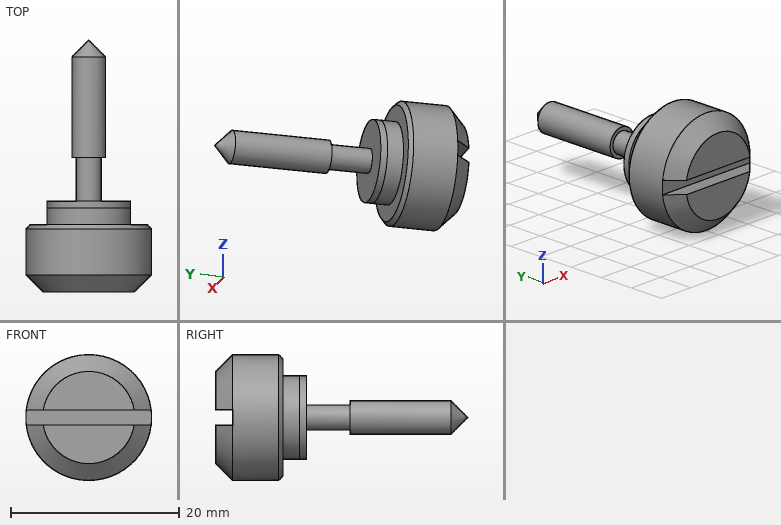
import cadquery as cq

overall_length = 30.0

head_diameter = 15.0
head_length = 8.0
front_chamfer = 2.0
rear_chamfer = 0.5

slot_width = 1.83
slot_depth = front_chamfer

collar_diameter = 10.0
collar_length = 1.98

washer_thickness = 0.85

neck_diameter = 3.0
shank_diameter = 4.02
shank_length = 12.0
tip_length = shank_diameter / 2

collar_end = head_length + collar_length
shank_end = overall_length - tip_length
shank_start = shank_end - shank_length


def make_screw():
    """Head, collar, neck and pointed shank turned as one piece, with a driver slot."""
    head_radius = head_diameter / 2
    collar_radius = collar_diameter / 2
    neck_radius = neck_diameter / 2
    shank_radius = shank_diameter / 2
    half_profile = [
        (0, 0),
        (head_radius - front_chamfer, 0),
        (head_radius, front_chamfer),
        (head_radius, head_length - rear_chamfer),
        (head_radius - rear_chamfer, head_length),
        (collar_radius, head_length),
        (collar_radius, collar_end),
        (neck_radius, collar_end),
        (neck_radius, shank_start),
        (shank_radius, shank_start),
        (shank_radius, shank_end),
        (0, overall_length),
    ]
    turned = cq.Workplane("XY").polyline(half_profile).close().revolve(360, (0, 0), (0, 1))
    slot = cq.Workplane("XY").box(head_diameter, slot_depth, slot_width, centered=(True, False, True))
    return turned.cut(slot)


def make_washer():
    """Flat ring on the neck, seated against the collar."""
    return (
        cq.Workplane("XZ", origin=(0, collar_end, 0))
        .circle(collar_diameter / 2)
        .circle(neck_diameter / 2)
        .extrude(-washer_thickness)
    )


screw = make_screw()
washer = make_washer()

result = cq.Compound.makeCompound([screw.solids().val(), washer.solids().val()])